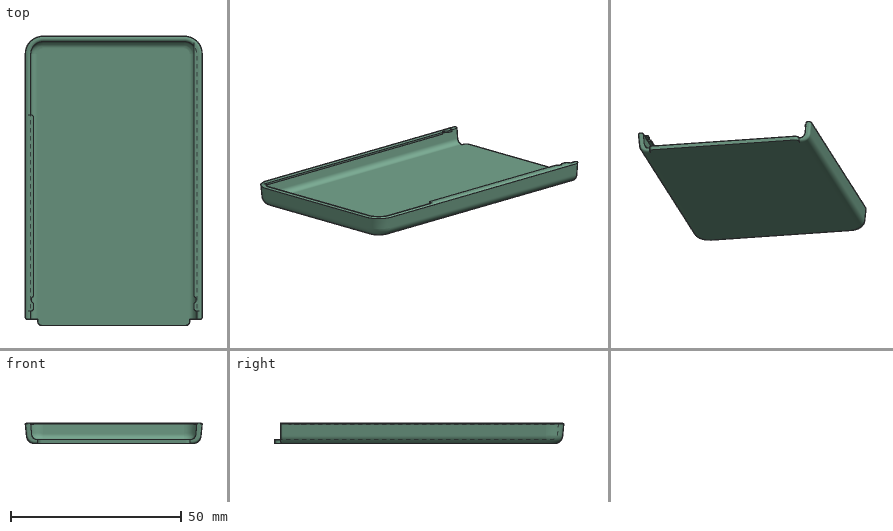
import cadquery as cq
import math

width = 52.0
length = 85.0
height = 6.1
half_width = width / 2

corner_radius = 5.3
inner_bend_height = 2.9
outer_bend_height = 2.4
floor_thickness = 1.2
crown_inset = 0.9
crown_drop = 0.3
inner_rim = 1.6
outer_draft = 0.3
outer_foot = 3.0
inner_bend = 1.9
floor_inset = 3.65
quarter_ratio = math.sqrt(0.5)

wall_front = 1.8
wall_end_round = 0.7
margin = 0.1
tongue_corner = 1.2

lip_reach = 2.5
lip_thickness = 0.5
lip_front = 4.25
left_lip_back = 61.9
lip_corner = 0.5
notch_depth = 0.7
notch_center = 7.6
notch_length = 2.2


def quarter_point(start, end):
    """Midpoint of a quarter curve leaving start vertically and arriving at end horizontally."""
    return (
        end[0] - (end[0] - start[0]) * quarter_ratio,
        start[1] + (end[1] - start[1]) * quarter_ratio,
    )


def crown_point(shoulder, crest):
    """Midway point of the arc that is level at the crest and passes through the shoulder."""
    span = crest[0] - shoulder[0]
    drop = crest[1] - shoulder[1]
    radius = (span**2 + drop**2) / (2 * drop)
    return (
        crest[0] - span / 2,
        crest[1] - radius + math.sqrt(radius**2 - (span / 2) ** 2),
    )


def make_wall():
    """Sweep the curved wall section around the two sides and the closed back."""
    outer_bend = (-half_width + outer_draft, outer_bend_height)
    outer_bottom = (-half_width + outer_foot, 0)
    inner_wall = (-half_width + inner_bend, inner_bend_height)
    floor_edge = (-half_width + floor_inset, floor_thickness)
    outer_shoulder = (-half_width, height - crown_drop)
    crest = (-half_width + crown_inset, height)
    inner_shoulder = (-half_width + inner_rim, height - crown_drop)
    section = (
        cq.Workplane("XZ", origin=(0, wall_front, 0))
        .moveTo(*outer_shoulder)
        .lineTo(*outer_bend)
        .threePointArc(quarter_point(outer_bend, outer_bottom), outer_bottom)
        .lineTo(floor_edge[0], 0)
        .lineTo(*floor_edge)
        .threePointArc(quarter_point(inner_wall, floor_edge), inner_wall)
        .lineTo(*inner_shoulder)
        .threePointArc(crown_point(inner_shoulder, crest), crest)
        .threePointArc(crown_point(outer_shoulder, crest), outer_shoulder)
        .close()
    )
    corner_x = half_width - corner_radius
    corner_y = length - corner_radius
    diagonal = corner_radius * quarter_ratio
    path = (
        cq.Workplane("XY")
        .moveTo(-half_width, wall_front)
        .lineTo(-half_width, corner_y)
        .threePointArc((-corner_x - diagonal, corner_y + diagonal), (-corner_x, length))
        .lineTo(corner_x, length)
        .threePointArc((corner_x + diagonal, corner_y + diagonal), (half_width, corner_y))
        .lineTo(half_width, wall_front)
    )
    wall = section.sweep(path)
    end_edges = cq.selectors.BoxSelector(
        (-half_width - margin, wall_front - margin, margin),
        (half_width + margin, wall_front + margin, height - crown_drop - margin),
    )
    outer_edges = [
        edge for edge in wall.edges(end_edges).vals()
        if abs(edge.Center().x) > half_width - (inner_bend + outer_draft) / 2 - margin
    ]
    return wall.newObject(outer_edges).fillet(wall_end_round)


def make_floor():
    """Flat floor, with its front tongue projecting past the side walls."""
    floor_width = width - 2 * floor_inset
    floor_length = length - floor_inset
    floor = cq.Workplane("XY").box(floor_width, floor_length, floor_thickness, centered=(True, False, False))
    back_corners = floor.edges("|Z and >Y").fillet(corner_radius - floor_inset)
    return back_corners.edges("|Z and <Y").fillet(tongue_corner)


def make_lip(side, back):
    """Thin notched strip along one side wall; side is -1 for left, +1 for right."""
    root = side * (half_width - crown_inset)
    edge = side * (half_width - lip_reach)
    notch = side * (half_width - lip_reach + notch_depth)
    shoulder = edge + side * lip_corner
    half_notch = notch_length / 2
    strip = (
        cq.Workplane("XY", origin=(0, 0, height - lip_thickness))
        .moveTo(root, lip_front)
        .lineTo(shoulder, lip_front)
        .lineTo(edge, lip_front + lip_corner)
        .lineTo(edge, notch_center - half_notch)
        .lineTo(notch, notch_center - half_notch + notch_depth)
        .lineTo(notch, notch_center + half_notch - notch_depth)
        .lineTo(edge, notch_center + half_notch)
        .lineTo(edge, back - lip_corner)
        .lineTo(shoulder, back)
        .lineTo(root, back)
        .close()
        .extrude(lip_thickness)
    )
    envelope = (
        cq.Workplane("XY")
        .rect(width - 2 * crown_inset, 2 * (length - crown_inset))
        .extrude(height)
        .edges("|Z")
        .fillet(corner_radius - crown_inset)
    )
    return strip.intersect(envelope)


left_lip = make_lip(-1, left_lip_back)
right_lip = make_lip(1, length - crown_inset)
result = make_wall().union(make_floor()).union(left_lip).union(right_lip)